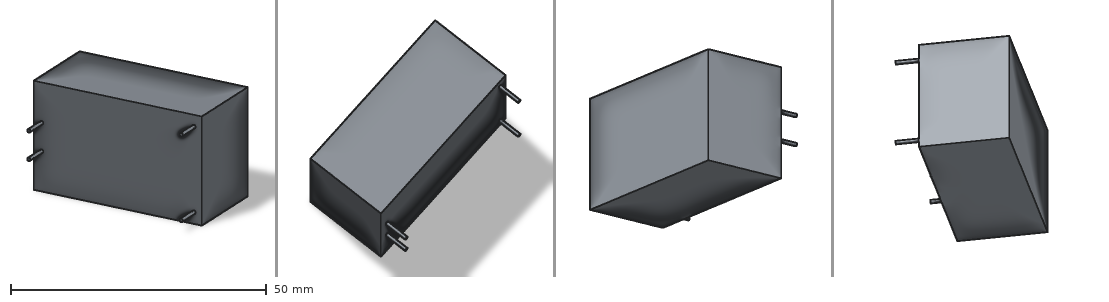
import cadquery as cq

body_length = 38.0
body_depth = 18.0
body_height = 23.0

pin_diameter = 0.75
pin_length = 4.98
pin_pitch = 6.0
pin_edge_distance = 1.8

pin_x = body_length / 2 - pin_edge_distance
close_pair_z = pin_pitch / 2
wide_pair_z = 3 * pin_pitch / 2

pin_positions = [
    (x, side * z)
    for x, z in ((-pin_x, close_pair_z), (pin_x, wide_pair_z))
    for side in (-1, 1)
]

body = cq.Workplane("XY").box(
    body_length, body_depth, body_height, centered=(True, False, True)
)

pins = (
    cq.Workplane("XZ")
    .pushPoints(pin_positions)
    .circle(pin_diameter / 2)
    .extrude(pin_length)
)

result = body.union(pins)